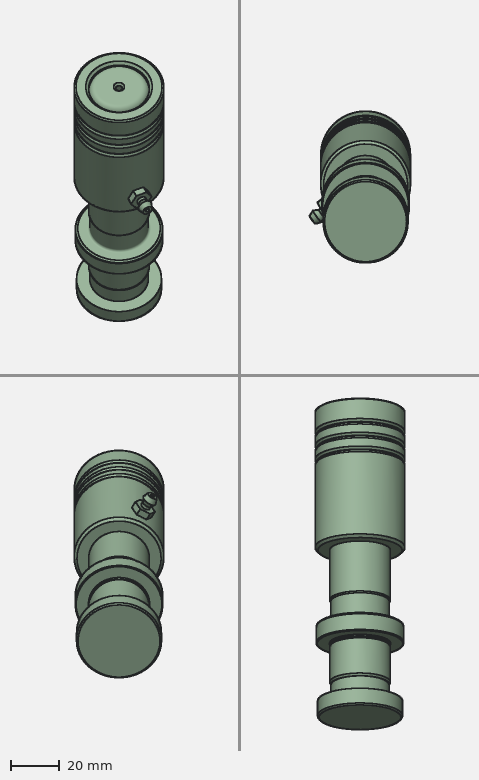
import cadquery as cq
import math

bushing_radius = 18.5
bushing_bottom = 72.1
assembly_top = 132.0
bushing_top_bevel_height = 0.5
bushing_top_bevel_width = 0.8
bushing_bottom_bevel = 1.2
bore_bevel = 1.2

groove_count = 3
groove_pitch = 6.0
first_groove_top = 123.0
groove_width = 2.4
groove_depth = 0.8
groove_bevel_height = 1.0

post_diameter = 25.0
post_radius = post_diameter / 2
post_bottom = 14.1
post_bottom_bevel_height = 1.0
post_bottom_bevel_width = 0.7
post_top_round = 3.0
centre_hole_mouth_radius = 2.2
centre_hole_radius = 1.3
centre_hole_depth = 5.3
centre_hole_tip_angle = 118.0

neck_diameter = 24.2
neck_radius = neck_diameter / 2
upper_neck_top = 50.5
upper_neck_bevel_height = 0.7
neck_fillet = 1.0
lower_neck_height = 0.9
lower_neck_bevel_height = 0.5
lower_neck_flare = 0.5

collar_diameter = 36.0
collar_radius = collar_diameter / 2
collar_bottom = 31.8
collar_top = 39.9
collar_top_bevel_height = 0.5
collar_top_bevel_width = 0.9
collar_rim_bevel_height = 0.4
collar_rim_bevel_width = 0.1
collar_bottom_bevel = 0.4

cap_stub_radius = neck_radius
cap_flange_diameter = 35.0
cap_flange_radius = cap_flange_diameter / 2
cap_flange_height = 7.0
cap_bevel = 0.7

nipple_height = 82.0
nipple_angle = -20.0
nipple_shank_radius = 2.5
nipple_shank_start = 15.2
hex_across_flats = 8.0
hex_end = 21.5
nipple_base_radius = 2.0
nipple_waist = 22.8
nipple_waist_radius = 1.8
nipple_bulge = 25.0
nipple_bulge_radius = 3.0
nipple_tip = 27.5
nipple_tip_radius = 2.1
nipple_hole_radius = 0.8
nipple_hole_depth = 1.3


def revolve_outline(outline):
    """Turn a closed (radius, height) outline around the Z axis."""
    return outline.close().revolve(360, (0, 0, 0), (0, 1, 0))


def place_on_bushing(shape):
    """Lay a shape built along Z out radially along the nipple axis."""
    return (
        shape.rotate((0, 0, 0), (0, 1, 0), 90)
        .rotate((0, 0, 0), (0, 0, 1), nipple_angle)
        .translate((0, 0, nipple_height))
    )


def ring_groove(top):
    """Ring with sloping sides, to be cut from the bushing's outer face."""
    floor_radius = bushing_radius - groove_depth
    bottom = top - groove_width
    outline = (
        cq.Workplane("XZ")
        .moveTo(bushing_radius, top)
        .lineTo(floor_radius, top - groove_bevel_height)
        .lineTo(floor_radius, bottom + groove_bevel_height)
        .lineTo(bushing_radius, bottom)
    )
    return revolve_outline(outline)


def shank_cylinder():
    """Nipple shank, from inside the bushing wall to the bushing surface."""
    shank = (
        cq.Workplane("XY")
        .workplane(offset=nipple_shank_start)
        .circle(nipple_shank_radius)
        .extrude(bushing_radius - nipple_shank_start)
    )
    return place_on_bushing(shank)


def make_bushing():
    outline = (
        cq.Workplane("XZ")
        .moveTo(post_radius, bushing_bottom)
        .lineTo(bushing_radius - bushing_bottom_bevel, bushing_bottom)
        .lineTo(bushing_radius, bushing_bottom + bushing_bottom_bevel)
        .lineTo(bushing_radius, assembly_top - bushing_top_bevel_height)
        .lineTo(bushing_radius - bushing_top_bevel_width, assembly_top)
        .lineTo(post_radius + bore_bevel, assembly_top)
        .lineTo(post_radius, assembly_top - bore_bevel)
    )
    bushing = revolve_outline(outline)
    for index in range(groove_count):
        bushing = bushing.cut(ring_groove(first_groove_top - index * groove_pitch))
    return bushing.cut(shank_cylinder())


def make_post():
    lower_neck_bottom = collar_bottom - lower_neck_height
    rim_bevel_top = collar_top - collar_top_bevel_height
    rim_bevel_radius = collar_radius - collar_rim_bevel_width
    arc_reach = neck_fillet * (1 - math.sqrt(0.5))
    outline = (
        cq.Workplane("XZ")
        .moveTo(0, post_bottom)
        .lineTo(post_radius - post_bottom_bevel_width, post_bottom)
        .lineTo(post_radius, post_bottom + post_bottom_bevel_height)
        .lineTo(post_radius, lower_neck_bottom - lower_neck_bevel_height)
        .lineTo(neck_radius, lower_neck_bottom)
        .lineTo(neck_radius, collar_bottom - lower_neck_flare)
        .lineTo(neck_radius + lower_neck_flare, collar_bottom)
        .lineTo(collar_radius - collar_bottom_bevel, collar_bottom)
        .lineTo(collar_radius, collar_bottom + collar_bottom_bevel)
        .lineTo(collar_radius, rim_bevel_top - collar_rim_bevel_height)
        .lineTo(rim_bevel_radius, rim_bevel_top)
        .lineTo(rim_bevel_radius - collar_top_bevel_width, collar_top)
        .lineTo(neck_radius + neck_fillet, collar_top)
        .threePointArc(
            (neck_radius + arc_reach, collar_top + arc_reach),
            (neck_radius, collar_top + neck_fillet),
        )
        .lineTo(neck_radius, upper_neck_top - upper_neck_bevel_height)
        .lineTo(post_radius, upper_neck_top)
        .lineTo(post_radius, assembly_top)
        .lineTo(0, assembly_top)
    )
    post = revolve_outline(outline).faces(">Z").edges().fillet(post_top_round)
    return post.cut(centre_hole())


def centre_hole():
    """Countersunk blind hole with a drill point, in the top of the post."""
    tip_depth = centre_hole_radius / math.tan(math.radians(centre_hole_tip_angle / 2))
    countersink_depth = centre_hole_mouth_radius - centre_hole_radius
    outline = (
        cq.Workplane("XZ")
        .moveTo(0, assembly_top)
        .lineTo(centre_hole_mouth_radius, assembly_top)
        .lineTo(centre_hole_radius, assembly_top - countersink_depth)
        .lineTo(centre_hole_radius, assembly_top - centre_hole_depth)
        .lineTo(0, assembly_top - centre_hole_depth - tip_depth)
    )
    return revolve_outline(outline)


def make_end_cap():
    outline = (
        cq.Workplane("XZ")
        .moveTo(0, 0)
        .lineTo(cap_flange_radius - cap_bevel, 0)
        .lineTo(cap_flange_radius, cap_bevel)
        .lineTo(cap_flange_radius, cap_flange_height)
        .lineTo(cap_stub_radius, cap_flange_height)
        .lineTo(cap_stub_radius, post_bottom)
        .lineTo(0, post_bottom)
    )
    return revolve_outline(outline)


def make_nipple():
    hex_head = (
        cq.Workplane("XY")
        .workplane(offset=bushing_radius)
        .polygon(6, hex_across_flats, circumscribed=True)
        .extrude(hex_end - bushing_radius)
    )
    head_outline = (
        cq.Workplane("XZ")
        .moveTo(0, hex_end)
        .lineTo(nipple_base_radius, hex_end)
        .lineTo(nipple_waist_radius, nipple_waist)
        .lineTo(nipple_bulge_radius, nipple_bulge)
        .lineTo(nipple_tip_radius, nipple_tip)
        .lineTo(nipple_hole_radius, nipple_tip)
        .lineTo(nipple_hole_radius, nipple_tip - nipple_hole_depth)
        .lineTo(0, nipple_tip - nipple_hole_depth)
    )
    nipple = hex_head.union(revolve_outline(head_outline))
    return place_on_bushing(nipple).union(shank_cylinder())


bushing = make_bushing()
post = make_post()
end_cap = make_end_cap()
nipple = make_nipple()

result = cq.Compound.makeCompound([bushing.val(), post.val(), end_cap.val(), nipple.val()])